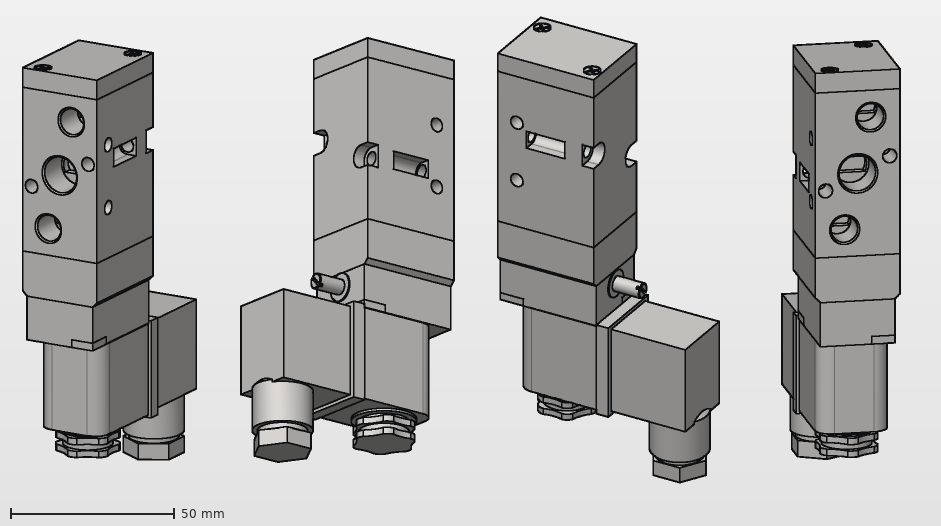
import cadquery as cq
import math


overall_height = 135.8
overall_depth = 66.1
body_width = 26.5
body_depth = 34.0

cover_bottom = 129.5
body_bottom = 77.1
neck_top = 62.9
pilot_bottom = 48.9
coil_bottom = 19.4

body_middle = (cover_bottom + body_bottom) / 2
port_offset_x = 4.1
port_pitch_z = 17.7
port_depth = 10.9
passage_depth = 2.7
port_chamfer = 0.5
main_port = {"bore": 11.4, "passage": 10.0, "passage_height": 4.9}
side_port = {"bore": 8.3, "passage": 8.0, "passage_height": 3.3}
mount_hole_diameter = 4.3
mount_offset_x = 10.0
mount_offset_z = 5.0
cross_hole_diameter = 4.3
cross_hole_inset = 6.8
cross_hole_offset_z = 10.0
window_height = 5.8
window_start = 10.2
window_length = 13.6
rear_notch_height = 7.3
rear_notch_length = 4.1

screw_diameter = 5.3
screw_offset_x = 8.0
screw_inset_y = 3.5
screw_recess = 0.3
cross_length = 3.8
cross_width = 0.7
cross_depth = 0.8

pilot_width = 23.4
override_z = 58.4
override_flange_diameter = 9.0
override_flange_thickness = 0.4
override_pin_diameter = 4.9
override_pin_end = 43.9
override_chamfer = 0.3
override_slot_width = 0.8
override_slot_depth = 1.4

coil_width = 22.5
coil_front = 5.7
coil_back = 34.4
coil_corner_radius = 5.0
tab_width = 7.3
tab_length = 8.1
tab_height = 2.5

coil_nut_y = 17.0
coil_nut_bottom = 11.3
washer_diameter = 20.1
washer_thickness = 0.8
nut_core_diameter = 15.5
nut_ring_thickness = 2.0
nut_ring_pitch = 4.1
nut_ring_count = 2
lobe_count = 6
lobe_tip_radius = 9.9
lobe_edge_distance = 9.5
lobe_half_width = 1.6
flute_radius = 8.5

gasket_width = 24.5
gasket_thickness = 4.2
gasket_bottom = 18.6
gasket_top = 49.7
plug_width = 20.9
plug_back = 64.8
plug_bottom = 19.8
plug_top = 48.5
gland_diameter = 18.7
gland_bottom = 7.0
gland_top = 22.1
gland_chamfer = 1.5
gland_neck_diameter = 15.5
gland_nut_height = 5.2
gland_nut_sides = 6
gland_y = overall_depth - gland_diameter / 2


def block(x_range, y_range, z_range):
    """Box between the given limits along each axis."""
    size = [high - low for low, high in (x_range, y_range, z_range)]
    corner = (x_range[0], y_range[0], z_range[0])
    return cq.Workplane("XY").box(*size, centered=False).translate(corner)


def centred(width):
    return (-width / 2, width / 2)


def cylinder_x(diameter, length, y, z):
    """Cylinder along X, centred on X = 0."""
    return cq.Workplane("YZ").center(y, z).circle(diameter / 2).extrude(length / 2, both=True)


def cylinder_y(diameter, y_range, x, z):
    start, end = y_range
    rod = cq.Workplane("XZ").center(x, z).circle(diameter / 2).extrude(start - end)
    return rod.translate((0, start, 0))


def cylinder_z(diameter, z_range, x, y):
    bottom, top = z_range
    return cq.Workplane("XY", origin=(x, y, bottom)).circle(diameter / 2).extrude(top - bottom)


def screw_recess_cut(x, y):
    """Shallow round recess with a diagonal cross in its floor."""
    floor = overall_height - screw_recess
    cut = cylinder_z(screw_diameter, (floor, overall_height), x, y)
    for angle in (45, 135):
        arm = block(centred(cross_length), centred(cross_width), (floor - cross_depth, floor))
        cut = cut.union(arm.rotate((0, 0, 0), (0, 0, 1), angle).translate((x, y, 0)))
    return cut


def make_cover():
    cover = block(centred(body_width), (0, body_depth), (cover_bottom, overall_height))
    cover = cover.cut(screw_recess_cut(screw_offset_x, body_depth - screw_inset_y))
    return cover.cut(screw_recess_cut(-screw_offset_x, screw_inset_y))


def port_cut(port, x, z):
    """Chamfered blind bore with a flat-sided passage in its floor."""
    bore = cylinder_y(port["bore"], (0, port_depth), x, z)
    mouth_radius = port["bore"] / 2 + port_chamfer
    mouth = cq.Workplane("XZ").center(x, z).circle(mouth_radius)
    mouth = mouth.extrude(-port_chamfer, taper=45)
    passage_range = (port_depth, port_depth + passage_depth)
    passage = cylinder_y(port["passage"], passage_range, x, z)
    half_height = port["passage_height"] / 2
    slot = block(centred(body_width), passage_range, (z - half_height, z + half_height))
    return bore.union(mouth).union(passage.intersect(slot))


def side_pocket_cut(side, height, y_range):
    """U-shaped pocket around a mounting hole, open to the nearer side face."""
    x = side * mount_offset_x
    z = body_middle + side * mount_offset_z
    x_range = sorted((x, side * body_width / 2))
    straight = block(x_range, y_range, (z - height / 2, z + height / 2))
    return straight.union(cylinder_y(height, y_range, x, z))


def make_valve_body():
    body = block(centred(body_width), (0, body_depth), (body_bottom, cover_bottom))
    body = body.cut(port_cut(main_port, 0, body_middle))
    for side in (-1, 1):
        port_z = body_middle + side * port_pitch_z
        body = body.cut(port_cut(side_port, side * port_offset_x, port_z))
        mount_z = body_middle + side * mount_offset_z
        body = body.cut(cylinder_y(mount_hole_diameter, (0, body_depth), side * mount_offset_x, mount_z))
        cross_z = body_middle + side * cross_hole_offset_z
        body = body.cut(cylinder_x(cross_hole_diameter, body_width, cross_hole_inset, cross_z))
        window_range = (window_start, window_start + window_length)
        body = body.cut(side_pocket_cut(side, window_height, window_range))
        notch_range = (body_depth - rear_notch_length, body_depth)
        body = body.cut(side_pocket_cut(side, rear_notch_height, notch_range))
    return body


def make_adapter():
    """Plate between valve body and pilot head, with a 45 degree chamfer down to the head's width."""
    adapter = block(centred(body_width), (0, body_depth), (neck_top, body_bottom))
    return adapter.edges("<Z and |Y").chamfer((body_width - pilot_width) / 2)


def corner_tabs():
    """Two keys on diagonally opposite corners, filling notches in the pilot head."""
    z_range = (pilot_bottom, pilot_bottom + tab_height)
    half_width = pilot_width / 2
    front = block((half_width - tab_width, half_width), (0, tab_length), z_range)
    rear = block((-half_width, tab_width - half_width), (body_depth - tab_length, body_depth), z_range)
    return front.union(rear)


def override_pin():
    flange_back = body_depth + override_flange_thickness
    flange = cylinder_y(override_flange_diameter, (body_depth, flange_back), 0, override_z)
    pin = cylinder_y(override_pin_diameter, (body_depth, override_pin_end), 0, override_z)
    pin = pin.faces(">Y").chamfer(override_chamfer)
    slot_range = (override_pin_end - override_slot_depth, override_pin_end)
    slot = block(centred(override_pin_diameter), slot_range, centred(override_slot_width))
    slot = slot.rotate((0, 0, 0), (0, 1, 0), -45).translate((0, 0, override_z))
    return flange.union(pin.cut(slot))


def make_pilot_head():
    head = block(centred(pilot_width), (0, body_depth), (pilot_bottom, neck_top))
    return head.cut(corner_tabs()).union(override_pin())


def lobed_ring(bottom):
    """Ring with rounded lobes parted by concave flutes; one lobe points along +Y."""
    step = 2 * math.pi / lobe_count

    def turned(x, y, index):
        angle = -index * step
        return (
            x * math.cos(angle) - y * math.sin(angle),
            x * math.sin(angle) + y * math.cos(angle),
        )

    outline = cq.Workplane("XY", origin=(0, coil_nut_y, bottom))
    outline = outline.moveTo(-lobe_half_width, lobe_edge_distance)
    for index in range(lobe_count):
        tip = turned(0, lobe_tip_radius, index)
        lobe_end = turned(lobe_half_width, lobe_edge_distance, index)
        flute_middle = turned(0, flute_radius, index + 0.5)
        next_lobe = turned(-lobe_half_width, lobe_edge_distance, index + 1)
        outline = outline.threePointArc(tip, lobe_end)
        outline = outline.threePointArc(flute_middle, next_lobe)
    return outline.close().extrude(nut_ring_thickness)


def coil_nut():
    washer_range = (coil_bottom - washer_thickness, coil_bottom)
    nut = cylinder_z(washer_diameter, washer_range, 0, coil_nut_y)
    nut = nut.union(cylinder_z(nut_core_diameter, (coil_nut_bottom, coil_bottom), 0, coil_nut_y))
    for index in range(nut_ring_count):
        nut = nut.union(lobed_ring(coil_nut_bottom + index * nut_ring_pitch))
    return nut


def coil_block():
    coil = block(centred(coil_width), (coil_front, coil_back), (coil_bottom, pilot_bottom))
    return coil.edges("|Z and <Y").fillet(coil_corner_radius)


def cable_gland():
    sleeve = cylinder_z(gland_diameter, (gland_bottom, gland_top), 0, gland_y)
    sleeve = sleeve.faces(">Z").chamfer(gland_chamfer)
    neck = cylinder_z(gland_neck_diameter, (gland_nut_height, gland_bottom), 0, gland_y)
    nut = cq.Workplane("XY").polygon(gland_nut_sides, gland_diameter).extrude(gland_nut_height)
    nut = nut.rotate((0, 0, 0), (0, 0, 1), 90).translate((0, gland_y, 0))
    return sleeve.union(neck).union(nut)


def connector():
    gasket_back = coil_back + gasket_thickness
    gasket = block(centred(gasket_width), (coil_back, gasket_back), (gasket_bottom, gasket_top))
    plug = block(centred(plug_width), (gasket_back, plug_back), (plug_bottom, plug_top))
    return gasket.union(plug).union(cable_gland())


def make_solenoid():
    return coil_block().union(corner_tabs()).union(coil_nut()).union(connector())


cover = make_cover()
valve_body = make_valve_body()
adapter = make_adapter()
pilot_head = make_pilot_head()
solenoid = make_solenoid()

result = cq.Compound.makeCompound(
    [cover.val(), valve_body.val(), adapter.val(), pilot_head.val(), solenoid.val()]
)